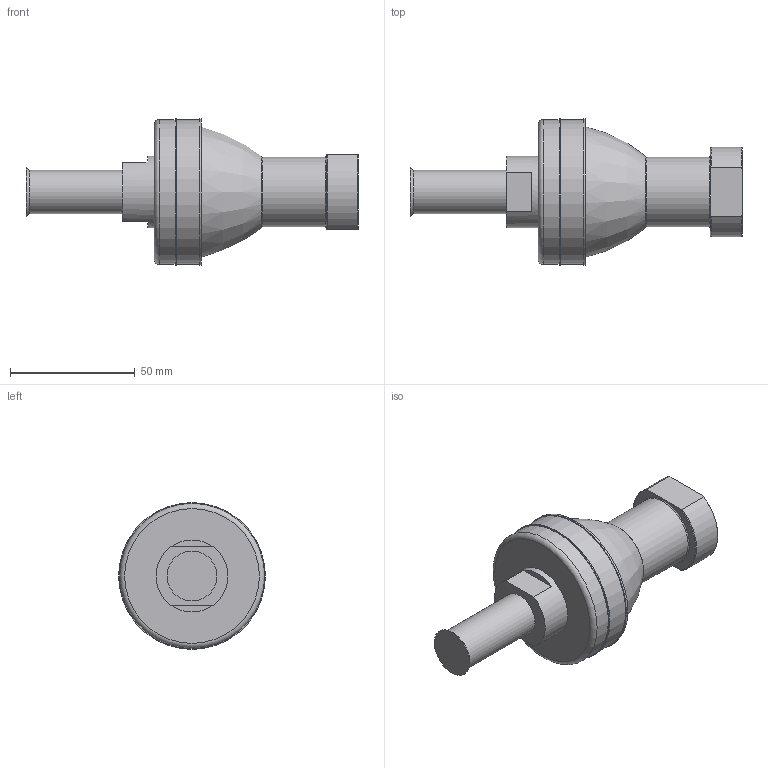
import cadquery as cq

COLLAR_START = 38.5
COLLAR_FLAT_END = 48.7
BODY_START = 51.3
FIRST_RIDGE_START = 59.7
BODY_END = 70.3
DOME_MIDDLE = 82.5
DOME_END = 94.2
CAP_START = 120.3
TOTAL_LENGTH = 133.0

ROD_DIAMETER = 17.29
ROD_TIP_DIAMETER = 20.0
COLLAR_DIAMETER = 28.8
BODY_DIAMETER = 58.0
RIDGE_DIAMETER = 58.8
DOME_BASE_DIAMETER = 52.2
DOME_MIDDLE_DIAMETER = 44.0
NECK_DIAMETER = 28.0
CAP_DIAMETER = 36.0

COLLAR_ACROSS_FLATS = 24.0
CAP_ACROSS_FLATS = 30.0

TIP_FLARE = (ROD_TIP_DIAMETER - ROD_DIAMETER) / 2
BODY_FILLET = 2.0
FIRST_RIDGE_WIDTH = 0.4
REAR_RIDGE_WIDTH = 0.8
NECK_FILLET = 0.4
CAP_CHAMFER = 0.3


def cylinder(start, end, diameter):
    """Solid cylinder on the X axis between two stations."""
    return cq.Workplane("YZ").workplane(offset=start).circle(diameter / 2).extrude(end - start)


def flatted_cylinder(start, end, diameter, across_flats):
    """Cylinder with two parallel flats, facing +Z and -Z."""
    length = end - start
    slab = cq.Workplane("XY").box(length, diameter, across_flats)
    slab = slab.translate((start + length / 2, 0, 0))
    return cylinder(start, end, diameter).intersect(slab)


def make_rod():
    """Round rod whose free end flares out at 45 degrees."""
    profile = (
        cq.Workplane("XY")
        .lineTo(0, ROD_TIP_DIAMETER / 2)
        .lineTo(TIP_FLARE, ROD_DIAMETER / 2)
        .lineTo(COLLAR_START, ROD_DIAMETER / 2)
        .lineTo(COLLAR_START, 0)
        .close()
    )
    return profile.revolve(360, (0, 0, 0), (1, 0, 0))


def make_collar():
    """Collar with wrench flats that stop short of the body."""
    flatted = flatted_cylinder(COLLAR_START, COLLAR_FLAT_END, COLLAR_DIAMETER, COLLAR_ACROSS_FLATS)
    return flatted.union(cylinder(COLLAR_FLAT_END, BODY_START, COLLAR_DIAMETER))


def make_body():
    """Disc-shaped body with a rounded front edge and two thin ridges."""
    body = cylinder(BODY_START, BODY_END, BODY_DIAMETER).edges("<X").fillet(BODY_FILLET)
    ridges = (
        (FIRST_RIDGE_START, FIRST_RIDGE_START + FIRST_RIDGE_WIDTH),
        (BODY_END - REAR_RIDGE_WIDTH, BODY_END),
    )
    for ridge_start, ridge_end in ridges:
        body = body.union(cylinder(ridge_start, ridge_end, RIDGE_DIAMETER))
    return body


def make_dome_and_neck():
    """Curved dome narrowing to the neck, which has a small fillet at both ends."""
    neck_radius = NECK_DIAMETER / 2
    fillet_top_radius = neck_radius + NECK_FILLET
    profile = (
        cq.Workplane("XY")
        .moveTo(BODY_END, 0)
        .lineTo(BODY_END, DOME_BASE_DIAMETER / 2)
        .threePointArc((DOME_MIDDLE, DOME_MIDDLE_DIAMETER / 2), (DOME_END, fillet_top_radius))
        .radiusArc((DOME_END + NECK_FILLET, neck_radius), -NECK_FILLET)
        .lineTo(CAP_START - NECK_FILLET, neck_radius)
        .radiusArc((CAP_START, fillet_top_radius), -NECK_FILLET)
        .lineTo(CAP_START, 0)
        .close()
    )
    return profile.revolve(360, (0, 0, 0), (1, 0, 0))


def make_cap():
    """End cap with lightly chamfered round edges and two wrench flats."""
    round_blank = cylinder(CAP_START, TOTAL_LENGTH, CAP_DIAMETER).edges().chamfer(CAP_CHAMFER)
    return round_blank.intersect(
        flatted_cylinder(CAP_START, TOTAL_LENGTH, CAP_DIAMETER, CAP_ACROSS_FLATS)
    )


result = make_rod()
for section in (make_collar(), make_body(), make_dome_and_neck(), make_cap()):
    result = result.union(section)